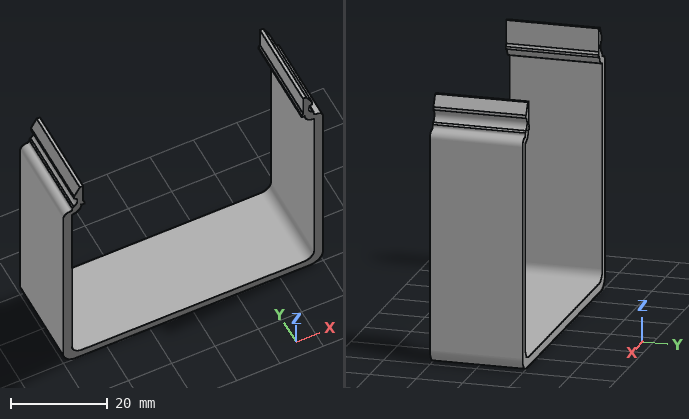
import cadquery as cq
import math

WIDTH = 60.0
DEPTH = 20.0
HEIGHT = 57.5

WALL = 2.05
OUTER_BEND_RADIUS = 3.0
INNER_BEND_RADIUS = 2.4

SHOULDER_DROP = 6.95
SHOULDER_RADIUS = 1.55
NECK_INSET = 2.1
NECK_FILLET = 0.5
NECK_TOP_DROP = 6.1

TIP_INSET = 3.85
HEAD_INNER_INSET = 4.6
BARB_INSET = 2.5
BARB_TOP_DROP = 2.4
BARB_BOTTOM_DROP = 3.05
GROOVE_INSET = 3.3
GROOVE_MIDDLE_DROP = 4.3
GROOVE_END_INSET = 2.4
GROOVE_END_DROP = 5.7

LIP_INSET = 4.9
LIP_START_DROP = 5.05
LIP_EDGE_DROP = 5.65
LIP_BOTTOM_DROP = 6.2
ELBOW_RADIUS = 2.1
ELBOW_FILLET = 0.4

DIAGONAL = math.sqrt(0.5)


def clip_point(inset, drop):
    """Point on the left clip, from its outer wall face and the top."""
    return (-WIDTH / 2 + inset, HEIGHT - drop)


def left_half_profile():
    """Closed outline of the left wall, its snap clip and half the base."""
    left = -WIDTH / 2
    inner_bend_x = left + WALL + INNER_BEND_RADIUS
    inner_bend_z = WALL + INNER_BEND_RADIUS
    outer_bend_x = left + OUTER_BEND_RADIUS
    shoulder_centre_drop = SHOULDER_DROP + SHOULDER_RADIUS
    neck_fillet_inset = NECK_INSET - NECK_FILLET
    neck_fillet_drop = SHOULDER_DROP - NECK_FILLET

    elbow_centre_inset = NECK_INSET
    elbow_centre_drop = LIP_BOTTOM_DROP
    fillet_centre_inset = WALL + ELBOW_FILLET
    centre_distance = ELBOW_RADIUS + ELBOW_FILLET
    side_offset = fillet_centre_inset - elbow_centre_inset
    down_offset = math.sqrt(centre_distance**2 - side_offset**2)
    fillet_centre_drop = elbow_centre_drop + down_offset
    tangent_ratio = ELBOW_RADIUS / centre_distance
    elbow_end = clip_point(
        elbow_centre_inset + side_offset * tangent_ratio,
        elbow_centre_drop + down_offset * tangent_ratio,
    )
    elbow_middle = clip_point(
        elbow_centre_inset + ELBOW_RADIUS * DIAGONAL,
        elbow_centre_drop + ELBOW_RADIUS * DIAGONAL,
    )
    fillet_middle = clip_point(
        fillet_centre_inset - ELBOW_FILLET * DIAGONAL,
        fillet_centre_drop - ELBOW_FILLET * DIAGONAL,
    )

    return (
        cq.Workplane("XZ", origin=(0, DEPTH / 2, 0))
        .moveTo(0, 0)
        .lineTo(outer_bend_x, 0)
        .radiusArc((left, OUTER_BEND_RADIUS), OUTER_BEND_RADIUS)
        .lineTo(*clip_point(0, shoulder_centre_drop))
        .radiusArc(clip_point(SHOULDER_RADIUS, SHOULDER_DROP), SHOULDER_RADIUS)
        .lineTo(*clip_point(neck_fillet_inset, SHOULDER_DROP))
        .radiusArc(clip_point(NECK_INSET, neck_fillet_drop), -NECK_FILLET)
        .lineTo(*clip_point(NECK_INSET, NECK_TOP_DROP))
        .lineTo(*clip_point(GROOVE_END_INSET, GROOVE_END_DROP))
        .threePointArc(
            clip_point(GROOVE_INSET, GROOVE_MIDDLE_DROP),
            clip_point(BARB_INSET, BARB_BOTTOM_DROP),
        )
        .lineTo(*clip_point(BARB_INSET, BARB_TOP_DROP))
        .lineTo(*clip_point(TIP_INSET, 0))
        .lineTo(*clip_point(HEAD_INNER_INSET, 0))
        .lineTo(*clip_point(HEAD_INNER_INSET, LIP_START_DROP))
        .lineTo(*clip_point(LIP_INSET, LIP_EDGE_DROP))
        .lineTo(*clip_point(LIP_INSET, LIP_BOTTOM_DROP))
        .lineTo(*clip_point(elbow_centre_inset + ELBOW_RADIUS, LIP_BOTTOM_DROP))
        .threePointArc(elbow_middle, elbow_end)
        .threePointArc(fillet_middle, clip_point(WALL, fillet_centre_drop))
        .lineTo(left + WALL, inner_bend_z)
        .radiusArc((inner_bend_x, WALL), -INNER_BEND_RADIUS)
        .lineTo(0, WALL)
        .close()
    )


left_half = left_half_profile().extrude(DEPTH)
result = left_half.union(left_half.mirror("YZ")).clean()